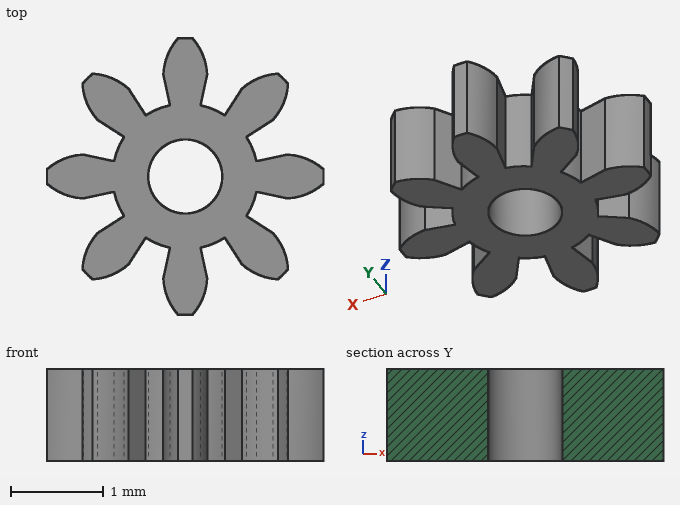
import cadquery as cq
import math

tooth_count = 8
thickness = 1.0
bore_diameter = 0.8
root_radius = 0.79
shoulder_radius = 1.13
tip_radius = 1.5
flank_half_angle = 12.2
tip_half_width = 0.079
face_radius = 0.64

hub_overlap = 0.1


def on_flank(radius):
    """Point on the +Y radial flank of a tooth centred on +X."""
    angle = math.radians(flank_half_angle)
    return radius * math.cos(angle), radius * math.sin(angle)


def mirrored(point):
    """Same point on the -Y side of the tooth."""
    return point[0], -point[1]


def make_tooth():
    """One tooth pointing along +X."""
    base = on_flank(root_radius - hub_overlap)
    shoulder = on_flank(shoulder_radius)
    tip = (math.sqrt(tip_radius**2 - tip_half_width**2), tip_half_width)
    return (
        cq.Workplane("XY")
        .moveTo(*mirrored(base))
        .lineTo(*mirrored(shoulder))
        .radiusArc(mirrored(tip), -face_radius)
        .threePointArc((tip_radius, 0), tip)
        .radiusArc(shoulder, -face_radius)
        .lineTo(*base)
        .close()
        .extrude(thickness)
    )


def make_pinion():
    """Hub with a ring of equal teeth and a central through bore."""
    pinion = cq.Workplane("XY").circle(root_radius).extrude(thickness)
    tooth = make_tooth()
    for index in range(tooth_count):
        angle = index * 360 / tooth_count
        pinion = pinion.union(tooth.rotate((0, 0, 0), (0, 0, 1), angle))
    bore = cq.Workplane("XY").circle(bore_diameter / 2).extrude(thickness)
    return pinion.cut(bore)


result = make_pinion()